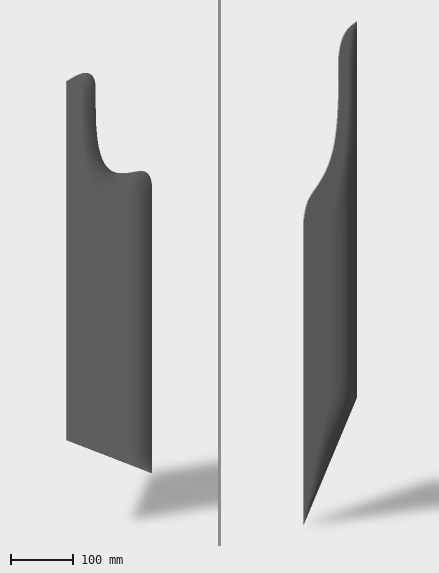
import cadquery as cq

thickness = 1.6
height = 761
width = 292.0
straight_edge_bottom = 152

neck_width = 99
neck_curve_end = 715
hollow_start = 685
shoulder_start = (251, 526.0)
shoulder_end = 483.0

neck_handles = [(61, height), (neck_width, 749.5)]
hollow_handles = [(neck_width, 558.0), (167.5, 546.5)]
shoulder_handles = [(278.0, 519.0), (width, 504.0)]

result = (
    cq.Workplane("YZ")
    .moveTo(0, straight_edge_bottom)
    .lineTo(0, height)
    .bezier([*neck_handles, (neck_width, neck_curve_end)], includeCurrent=True)
    .lineTo(neck_width, hollow_start)
    .bezier([*hollow_handles, shoulder_start], includeCurrent=True)
    .bezier([*shoulder_handles, (width, shoulder_end)], includeCurrent=True)
    .lineTo(width, 0)
    .close()
    .extrude(thickness)
)